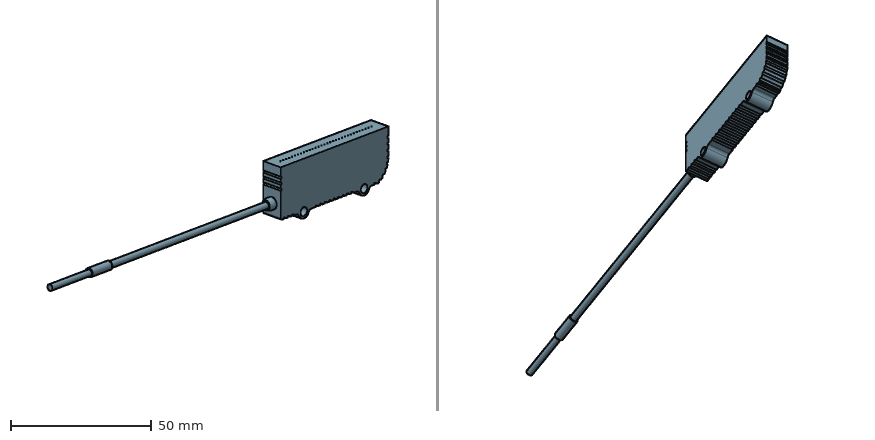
import cadquery as cq
import math

width = 8.7
housing_length = 55.0
housing_height = 20.4
corner_radius = 10.0
corner_start_z = -11.6
front_edge_radius = 0.8

total_height = 23.0
foot_radius = total_height - housing_height
foot_blend_radius = 1.3
foot_hole_diameter = 3.4
foot_places = (11.8, 42.5)

groove_radius = 0.5
front_groove_radius = 0.42
first_end_groove_z = -4.0
front_groove_count = 3
front_groove_pitch = 2.27
back_groove_count = 3
back_groove_pitch = 2.5
corner_groove_count = 5
first_corner_groove_arc = 0.2
corner_groove_pitch = 2.4
rear_groove_y = 48.3
short_row_start = 2.0
short_row_count = 3
short_row_pitch = 2.1
long_row_start = 18.3
long_row_count = 9
long_row_pitch = 2.27

pit_side = 0.2
pit_depth = 0.2
pit_count = 32
pit_pitch = 1.5

total_length = 168.2
cable_z = -15.0
boot_base_diameter = 4.7
boot_belly_diameter = 4.9
boot_end_diameter = 3.9
boot_length = 3.0
cable_diameter = 2.7
sleeve_diameter = 3.5
sleeve_start = 83.1
sleeve_length = 10.1
sleeve_end = sleeve_start + sleeve_length
tip_diameter = 2.5
cable_end = total_length - housing_length


def cross_rods(places, radius):
    """Round rods across the whole width, centred on (Y, Z) places."""
    return cq.Workplane("YZ").pushPoints(places).circle(radius).extrude(width / 2, both=True)


def row(start, pitch, count):
    """Evenly spaced values from a start value."""
    return [start + pitch * i for i in range(count)]


def corner_point(angle):
    """The (Y, Z) point of the round corner, turned by an angle from the back face."""
    inset = corner_radius * (1 - math.cos(angle))
    return (housing_length - inset, corner_start_z - corner_radius * math.sin(angle))


def groove_places():
    """Centres of the grooves on the back, the round corner and the bottom."""
    back = [(housing_length, z) for z in row(first_end_groove_z, -back_groove_pitch, back_groove_count)]
    bottom_rows = row(short_row_start, short_row_pitch, short_row_count)
    bottom_rows += row(long_row_start, long_row_pitch, long_row_count)
    bottom_rows.append(rear_groove_y)
    bottom = [(y, -housing_height) for y in bottom_rows]
    corner_arcs = row(first_corner_groove_arc, corner_groove_pitch, corner_groove_count)
    corner = [corner_point(arc / corner_radius) for arc in corner_arcs]
    return back + bottom + corner


def foot(y):
    """A half-round foot that flares into the bottom of the housing with hollow arcs."""
    reach = foot_radius + foot_blend_radius
    half_flare = math.sqrt(reach**2 - foot_blend_radius**2)
    share = foot_radius / reach
    meet_y = half_flare * share
    meet_z = -foot_blend_radius * share
    return (
        cq.Workplane("YZ", origin=(0, y, -housing_height))
        .moveTo(-half_flare, 0)
        .radiusArc((-meet_y, meet_z), foot_blend_radius)
        .threePointArc((0, -foot_radius), (meet_y, meet_z))
        .radiusArc((half_flare, 0), foot_blend_radius)
        .close()
        .extrude(width / 2, both=True)
    )


def housing():
    corner_angle = math.asin((housing_height + corner_start_z) / corner_radius)
    body = (
        cq.Workplane("YZ")
        .lineTo(housing_length, 0)
        .lineTo(housing_length, corner_start_z)
        .threePointArc(corner_point(corner_angle / 2), corner_point(corner_angle))
        .lineTo(front_edge_radius, -housing_height)
        .radiusArc((0, front_edge_radius - housing_height), front_edge_radius)
        .close()
        .extrude(width / 2, both=True)
    )
    foot_centres = [(y, -housing_height) for y in foot_places]
    for y in foot_places:
        body = body.union(foot(y))
    body = body.cut(cross_rods(foot_centres, foot_hole_diameter / 2))
    body = body.cut(cross_rods(groove_places(), groove_radius))
    front_rows = row(first_end_groove_z, -front_groove_pitch, front_groove_count)
    body = body.cut(cross_rods([(0, z) for z in front_rows], front_groove_radius))
    pits = (
        cq.Workplane("XY", origin=(0, housing_length / 2, 0))
        .rarray(pit_pitch, pit_pitch, 1, pit_count)
        .rect(pit_side, pit_side)
        .extrude(-pit_depth)
    )
    return body.cut(pits)


def rod(diameter, start, end):
    """A round rod on the cable axis, between two distances from the housing."""
    return cq.Workplane("XZ", origin=(0, -start, cable_z)).circle(diameter / 2).extrude(end - start)


def barrel():
    """The cable boot: a solid of revolution with a bulging side."""
    profile = (
        cq.Workplane("XY", origin=(0, 0, cable_z))
        .lineTo(boot_base_diameter / 2, 0)
        .threePointArc(
            (boot_belly_diameter / 2, -boot_length / 2),
            (boot_end_diameter / 2, -boot_length),
        )
        .lineTo(0, -boot_length)
        .close()
    )
    return profile.revolve(360, (0, 0, 0), (0, 1, 0))


boot = barrel()
cable = rod(cable_diameter, 0, sleeve_start)
sleeve = rod(sleeve_diameter, sleeve_start, sleeve_end)
tip = rod(tip_diameter, sleeve_end, cable_end)
result = housing().union(boot).union(cable).union(sleeve).union(tip)